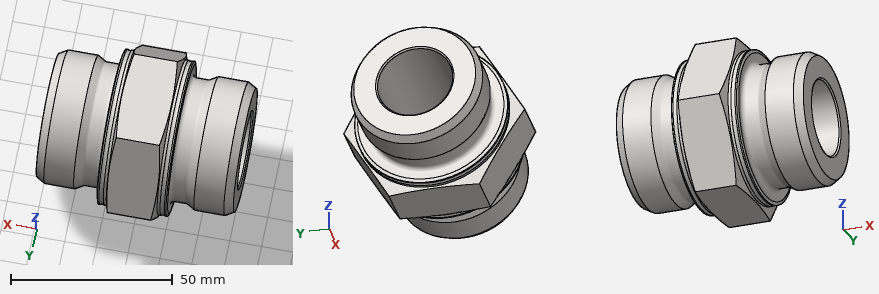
import cadquery as cq
import math

length = 62.0
half_length = length / 2
hex_across_flats = 50.0
hex_across_corners = hex_across_flats / math.cos(math.radians(30))
hex_half_width = 8.0
hex_chamfer_angle = math.radians(15)
envelope_clearance = 0.6

bore_radius = 24.0 / 2
bore_chamfer = 0.5

thread_radius = 42.0 / 2
neck_radius = 38.9 / 2
thread_taper_angle = math.radians(30)
thread_end = 12.1
neck_blend_radius = 1.25

collar_radius = 48.8 / 2
collar_start = 19.9
collar_rim_radius = 23.3
collar_chamfer_length = 0.3
recess_angle = math.radians(7.5)
recess_fillet_center = 18.65
groove_start = 20.7
groove_width = 1.35
groove_depth = 0.25


def arc_point(center, radius, angle):
    """Point on a circle in the (axial, radial) plane, angle from the axial direction."""
    return (center[0] + radius * math.cos(angle), center[1] + radius * math.sin(angle))


def make_end():
    """Revolve one end, from its end face at -X to the middle of the part."""
    taper_drop = thread_radius - neck_radius
    taper_length = taper_drop / math.tan(thread_taper_angle)

    blend_tangent = neck_blend_radius * math.tan(thread_taper_angle / 2)
    blend_center = (thread_end + taper_length + blend_tangent, neck_radius + neck_blend_radius)
    neck_angle = -math.pi / 2
    taper_angle = neck_angle - thread_taper_angle
    blend_middle_angle = (neck_angle + taper_angle) / 2

    recess_reach = collar_start - recess_fillet_center
    recess_height = collar_rim_radius - neck_radius
    recess_fillet = (
        (recess_reach * math.cos(recess_angle) + recess_height * math.sin(recess_angle))
        / (1 + math.sin(recess_angle))
    )
    fillet_center = (recess_fillet_center, neck_radius + recess_fillet)
    fillet_middle_angle = (neck_angle + recess_angle) / 2

    profile = (
        cq.Workplane("XY")
        .moveTo(0, 0)
        .lineTo(0, neck_radius)
        .lineTo(taper_length, thread_radius)
        .lineTo(thread_end, thread_radius)
        .lineTo(*arc_point(blend_center, neck_blend_radius, taper_angle))
        .threePointArc(
            arc_point(blend_center, neck_blend_radius, blend_middle_angle),
            (blend_center[0], neck_radius),
        )
        .lineTo(recess_fillet_center, neck_radius)
        .threePointArc(
            arc_point(fillet_center, recess_fillet, fillet_middle_angle),
            arc_point(fillet_center, recess_fillet, recess_angle),
        )
        .lineTo(collar_start, collar_rim_radius)
        .lineTo(collar_start + collar_chamfer_length, collar_radius)
        .lineTo(groove_start, collar_radius)
        .threePointArc(
            (groove_start + groove_width / 2, collar_radius - groove_depth),
            (groove_start + groove_width, collar_radius),
        )
        .lineTo(half_length, collar_radius)
        .lineTo(half_length, 0)
        .close()
    )
    return profile.revolve(360, (0, 0, 0), (1, 0, 0)).translate((-half_length, 0, 0))


def make_hexagon():
    """Hexagon with corners on Y and both faces chamfered from the collar outward."""
    prism = (
        cq.Workplane("YZ")
        .polygon(6, hex_across_corners)
        .extrude(hex_half_width, both=True)
    )
    outer_radius = hex_across_corners / 2 + envelope_clearance
    chamfer_depth = (outer_radius - collar_radius) * math.tan(hex_chamfer_angle)
    corner_half_width = hex_half_width - chamfer_depth
    envelope = (
        cq.Workplane("XY")
        .polyline([
            (-hex_half_width, 0),
            (-hex_half_width, collar_radius),
            (-corner_half_width, outer_radius),
            (corner_half_width, outer_radius),
            (hex_half_width, collar_radius),
            (hex_half_width, 0),
        ])
        .close()
        .revolve(360, (0, 0, 0), (1, 0, 0))
    )
    return prism.intersect(envelope)


def make_bore():
    """Through bore with a chamfer at each mouth."""
    mouth_radius = bore_radius + bore_chamfer
    return (
        cq.Workplane("XY")
        .polyline([
            (-half_length, 0),
            (-half_length, mouth_radius),
            (-half_length + bore_chamfer, bore_radius),
            (half_length - bore_chamfer, bore_radius),
            (half_length, mouth_radius),
            (half_length, 0),
        ])
        .close()
        .revolve(360, (0, 0, 0), (1, 0, 0))
    )


end = make_end()
result = end.union(end.mirror("YZ")).union(make_hexagon()).cut(make_bore())